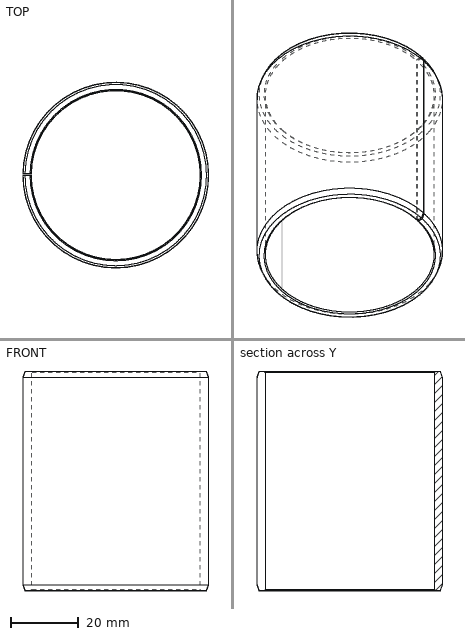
import cadquery as cq

length = 65.0
outer_diameter = 55.0
inner_diameter = 50.0

outer_chamfer_height = 1.8
outer_chamfer_depth = 0.65
inner_chamfer = 0.4

slit_width = 0.45

outer_radius = outer_diameter / 2
inner_radius = inner_diameter / 2
half_length = length / 2


def make_sleeve():
    """Revolve the wall section, chamfered inside and outside at both ends."""
    end_outer_radius = outer_radius - outer_chamfer_depth
    end_inner_radius = inner_radius + inner_chamfer
    outer_shoulder = half_length - outer_chamfer_height
    inner_shoulder = half_length - inner_chamfer
    return (
        cq.Workplane("XZ")
        .moveTo(end_inner_radius, -half_length)
        .lineTo(end_outer_radius, -half_length)
        .lineTo(outer_radius, -outer_shoulder)
        .lineTo(outer_radius, outer_shoulder)
        .lineTo(end_outer_radius, half_length)
        .lineTo(end_inner_radius, half_length)
        .lineTo(inner_radius, inner_shoulder)
        .lineTo(inner_radius, -inner_shoulder)
        .close()
        .revolve(360, (0, 0), (0, 1))
    )


def make_slit():
    """Full-length cutter reaching from the YZ plane out past the -X wall."""
    return cq.Workplane("XY").box(
        outer_diameter, slit_width, length, centered=(False, False, True)
    ).translate((-outer_diameter, 0, 0))


result = make_sleeve().cut(make_slit())